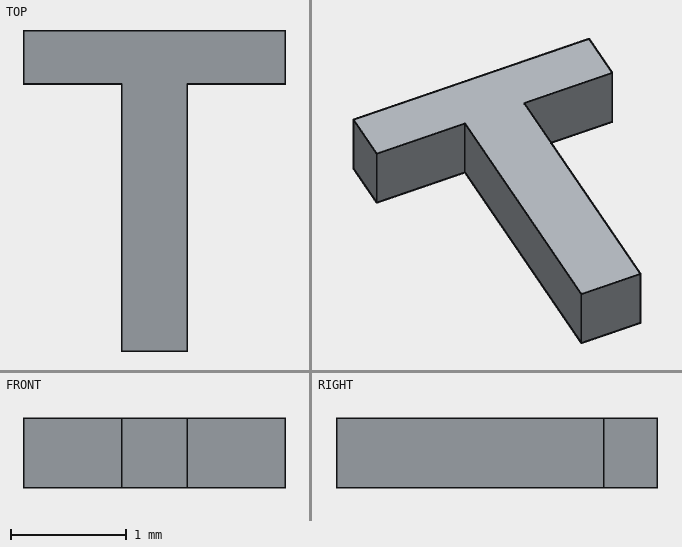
import cadquery as cq

bar_length = 2.26
total_length = 2.77
thickness = 0.6

bar_width = 0.463
stem_width = 0.568

stem_length = total_length - bar_width

stem = cq.Workplane("XY").box(stem_width, stem_length, thickness, centered=(True, False, False))

crossbar = (
    cq.Workplane("XY")
    .workplane(origin=(0, stem_length, 0))
    .box(bar_length, bar_width, thickness, centered=(True, False, False))
)

result = stem.union(crossbar)